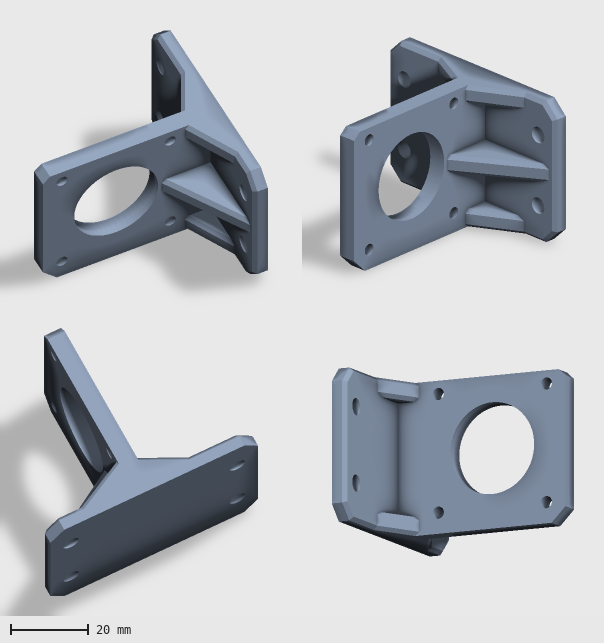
import cadquery as cq

plate_width = 60.0
height = 40.0
plate_thickness = 4.0
plate_corner = 4.0
bevel = 1.0

web_left = 0.0
web_thickness = 5.0
web_right = web_left + web_thickness
web_reach = 52.0
web_top_corner_length = 2.1
web_top_corner_height = 1.9
web_bottom_corner = 4.0

plate_hole_diameter = 4.5
plate_hole_spacing_x = 48.0
plate_hole_spacing_z = 20.0
motor_bore_diameter = 24.0
motor_screw_diameter = 3.2
motor_screw_spacing = 31.0
motor_center_y = 21.0 - web_reach
motor_center_z = 1.0

rib_thickness = 5.0
edge_rib_z = (height - rib_thickness) / 2
left_rib_run = 12.0
left_rib_rise = 6.0
right_rib_run = 14.0
right_rib_rise = 7.3
middle_rib_run = 22.9
middle_rib_rise = 14.0


def make_plate():
    """Plate with cut corners and a bevel around its front face."""
    return (
        cq.Workplane("XZ")
        .rect(plate_width, height)
        .extrude(plate_thickness)
        .edges("|Y")
        .chamfer(plate_corner)
        .faces("<Y")
        .edges()
        .chamfer(bevel)
    )


def make_web():
    """Upright web with its two front corners cut off."""
    top = height / 2
    bottom = -height / 2
    outline = [
        (0, bottom),
        (0, top),
        (web_top_corner_length - web_reach, top),
        (-web_reach, top - web_top_corner_height),
        (-web_reach, bottom + web_bottom_corner),
        (web_bottom_corner - web_reach, bottom),
    ]
    return (
        cq.Workplane("YZ", origin=(web_left, 0, 0))
        .polyline(outline)
        .close()
        .extrude(web_thickness)
    )


def make_rib(web_face, side, run, rise, center_z):
    """Triangular rib on one side of the web (side is -1 or +1), with a beveled slope."""
    root_y = bevel - plate_thickness
    slope_end_x = web_face + side * run * (1 + bevel / rise)
    slope = cq.Vector(side * run, rise, 0)
    return (
        cq.Workplane("XY", origin=(0, 0, center_z))
        .moveTo(web_face, root_y)
        .lineTo(web_face, -plate_thickness - rise)
        .lineTo(slope_end_x, root_y)
        .close()
        .extrude(rib_thickness / 2, both=True)
        .edges(cq.selectors.ParallelDirSelector(slope))
        .chamfer(bevel)
    )


def plate_holes():
    """Four mounting holes through the plate."""
    return (
        cq.Workplane("XZ")
        .rect(plate_hole_spacing_x, plate_hole_spacing_z, forConstruction=True)
        .vertices()
        .circle(plate_hole_diameter / 2)
        .extrude(plate_thickness)
    )


def motor_holes():
    """Central bore and four screw holes through the web."""
    face = cq.Workplane("YZ", origin=(web_left, motor_center_y, motor_center_z))
    bore = face.circle(motor_bore_diameter / 2).extrude(web_thickness)
    screws = (
        face.rect(motor_screw_spacing, motor_screw_spacing, forConstruction=True)
        .vertices()
        .circle(motor_screw_diameter / 2)
        .extrude(web_thickness)
    )
    return bore.union(screws)


result = make_plate().union(make_web())
for rib_z in (-edge_rib_z, edge_rib_z):
    result = result.union(make_rib(web_left, -1, left_rib_run, left_rib_rise, rib_z))
    result = result.union(make_rib(web_right, 1, right_rib_run, right_rib_rise, rib_z))
result = result.union(make_rib(web_right, 1, middle_rib_run, middle_rib_rise, 0))
result = result.cut(plate_holes()).cut(motor_holes())